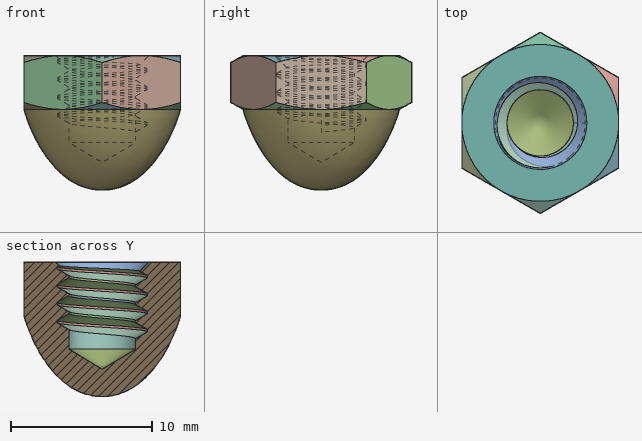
import cadquery as cq
import math

across_corners = 12.83
across_flats = across_corners * math.cos(math.radians(30))
flat_radius = across_flats / 2
corner_radius = across_corners / 2
total_height = 9.53
hex_height = 3.81
hex_chamfer_angle = 30
hex_rotation = 30
chamfer_drop = (corner_radius - flat_radius) * math.tan(math.radians(hex_chamfer_angle))

dome_side_angle = 16
dome_side_pull = 1.92
dome_nose_pull = 3.3

thread_pitch = 1.27
major_radius = 3.18
minor_radius = 2.35
hole_depth = 6.16
drill_point_angle = 118
countersink_radius = 3.3
thread_flat = thread_pitch / 8
thread_half_angle = 30
groove_depth_at_x = 1.04
turns_below = 3
turns_above = 2
mouth_overlap = 0.06


def make_hex():
    prism = cq.Workplane("XY").polygon(6, across_corners).extrude(-hex_height)
    prism = prism.rotate((0, 0, 0), (0, 0, 1), hex_rotation)
    envelope = (
        cq.Workplane("XZ")
        .moveTo(0, 0)
        .lineTo(flat_radius, 0)
        .lineTo(corner_radius, -chamfer_drop)
        .lineTo(corner_radius, chamfer_drop - hex_height)
        .lineTo(flat_radius, -hex_height)
        .lineTo(0, -hex_height)
        .close()
        .revolve(360, (0, 0, 0), (0, 1, 0))
    )
    return prism.intersect(envelope)


def make_dome():
    """Bezier profile: level at the nose, meeting the hexagon at the side angle."""
    side_angle = math.radians(dome_side_angle)
    side_control = (
        flat_radius - dome_side_pull * math.sin(side_angle),
        -hex_height - dome_side_pull * math.cos(side_angle),
    )
    nose_control = (dome_nose_pull, -total_height)
    profile_points = [(flat_radius, -hex_height), side_control, nose_control, (0, -total_height)]
    return (
        cq.Workplane("XZ")
        .moveTo(0, -hex_height)
        .lineTo(flat_radius, -hex_height)
        .bezier(profile_points)
        .close()
        .revolve(360, (0, 0, 0), (0, 1, 0))
    )


def make_hole():
    countersink_depth = countersink_radius - minor_radius
    point_depth = minor_radius / math.tan(math.radians(drill_point_angle / 2))
    return (
        cq.Workplane("XZ")
        .moveTo(0, 0)
        .lineTo(countersink_radius, 0)
        .lineTo(minor_radius, -countersink_depth)
        .lineTo(minor_radius, -hole_depth)
        .lineTo(0, -hole_depth - point_depth)
        .close()
        .revolve(360, (0, 0, 0), (0, 1, 0))
    )


def make_thread_groove():
    """Right-hand 60 degree groove that runs out through the countersink."""
    mouth_radius = minor_radius - mouth_overlap
    root_half = thread_flat / 2
    mouth_half = root_half + (major_radius - mouth_radius) * math.tan(math.radians(thread_half_angle))
    helix_height = (turns_below + turns_above) * thread_pitch
    helix = cq.Wire.makeHelix(thread_pitch, helix_height, minor_radius)
    groove = (
        cq.Workplane("XZ")
        .moveTo(mouth_radius, -mouth_half)
        .lineTo(major_radius, -root_half)
        .lineTo(major_radius, root_half)
        .lineTo(mouth_radius, mouth_half)
        .close()
        .sweep(cq.Workplane(obj=helix), isFrenet=True)
    )
    start_depth = groove_depth_at_x + turns_below * thread_pitch
    return groove.translate((0, 0, -start_depth))


result = make_hex().union(make_dome()).cut(make_hole()).cut(make_thread_groove())